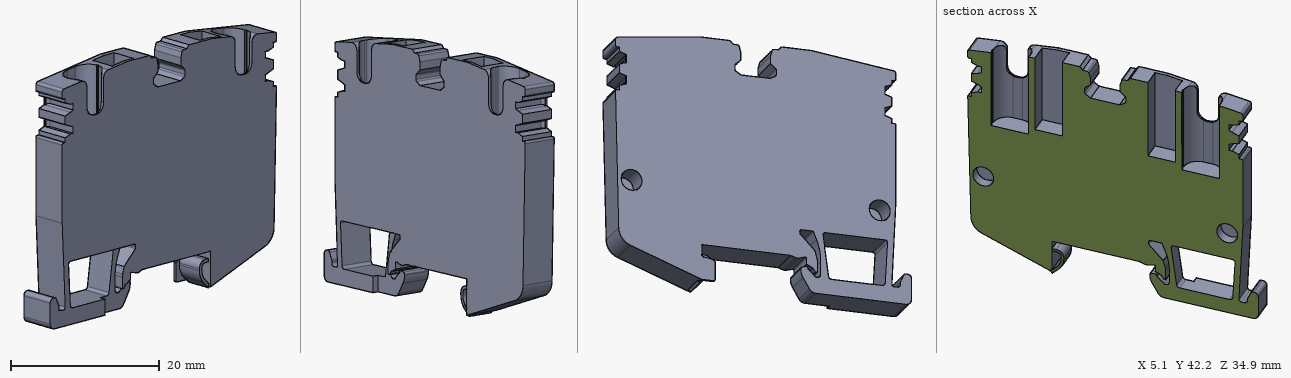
import cadquery as cq
import math

THICKNESS = 5.1
HALF_LENGTH = 20.0
TOP_Z = 34.7
RAIL_SEAT_Z = 4.98

SHOULDER_Y = 7.95
SHOULDER_DROP_PER_MM = 1 / 8

GRIP_STEP_Y = 19.43
GRIP_FLOOR_Y = 18.46
GRIP_TOP_Z = 31.82
GRIP_BOTTOM_Z = 25.7
GROOVE_FLOOR_HEIGHT = 1.11
GROOVE_SLOPE_HEIGHT = 0.35
GROOVE_CENTRES_Z = (30.295, 27.25)

RECESS_DEPTH = 0.5
RECESS_SLOPE_HEIGHT = 0.2
RECESS_START_X = 0.28
RECESS_CORNER_RADIUS = 0.32

ENTRY_INNER_Y = 11.1
ENTRY_LENGTH = 5.45
ENTRY_START_X = 0.42
ENTRY_WIDTH = 4.42
ENTRY_CORNER_RADIUS = 2.05
ENTRY_DEPTH = 13.0

ENTRY_GROOVE_WIDTH = 0.35
ENTRY_GROOVE_DEPTH = 0.12

NOTCH_WIDTH = 3.1
NOTCH_LIP_RADIUS = 1.0
NOTCH_DEPTH = 5.5

SQUARE_INNER_Y = 6.22
SQUARE_LENGTH = 3.95
SQUARE_START_X = 0.83
SQUARE_WIDTH = 3.73
SQUARE_DEPTH = 12.0

SOCKET_Y = 17.7
SOCKET_Z = 13.0
SOCKET_DIAMETER = 2.96
SOCKET_DEPTH = 3.5

WINDOW_TOP_Z = 8.85
WINDOW_BOTTOM_Z = 2.28

LATCH_WIDTH = 4.2
LATCH_STEP_Y = -12.0

FOOT_WALL_THICKNESS = 0.4
FOOT_TIP_Y = 5.74

STRIP_START_X = 0.83
STRIP_WIDTH = 3.87
STRIP_THICKNESS = 0.45
STRIP_TOP_Z = 3.87
STRIP_OUTER_Y = 5.98
STRIP_TIP_DROP = 0.24
STRIP_TOP_BEND_RADIUS = 1.1
STRIP_LOWER_BEND_RADIUS = 2.5
FOOT_WALL_Y = 7.68


def rounded_outline(plane, corners):
    """Closed wire through (u, v) or (u, v, radius) corners, rounded by tangent arcs."""
    starts, middles, ends = [], [], []
    for i, corner in enumerate(corners):
        here = cq.Vector(*corner[:2])
        if len(corner) == 2:
            starts.append(here)
            middles.append(None)
            ends.append(here)
            continue
        radius = corner[2]
        back = (cq.Vector(*corners[i - 1][:2]) - here).normalized()
        ahead = (cq.Vector(*corners[(i + 1) % len(corners)][:2]) - here).normalized()
        half_angle = back.getAngle(ahead) / 2
        setback = radius / math.tan(half_angle)
        to_arc = radius / math.sin(half_angle) - radius
        starts.append(here + back * setback)
        middles.append(here + (back + ahead).normalized() * to_arc)
        ends.append(here + ahead * setback)

    path = cq.Workplane(plane).moveTo(ends[0].x, ends[0].y)
    for start, middle, end in zip(starts[1:] + starts[:1], middles[1:] + middles[:1], ends[1:] + ends[:1]):
        path = path.lineTo(start.x, start.y)
        if middle is not None:
            path = path.threePointArc((middle.x, middle.y), (end.x, end.y))
    return path.close()


def mirrored(corners):
    """The same corners on the -Y side, in reverse order."""
    return [(-corner[0],) + tuple(corner[1:]) for corner in reversed(corners)]


def shoulder_z(distance):
    """Height of the top face at a distance from the block's mid-plane."""
    return TOP_Z - SHOULDER_DROP_PER_MM * max(0.0, distance - SHOULDER_Y)


def upper_half_outline():
    """Upper +Y half, from the floor of the middle notch out to the foot of the grip."""
    corners = [
        (2.1, 29.97),
        (2.95, 30.5, 0.3),
        (2.95, 31.35, 0.25),
        (2.12, 32.1),
        (2.12, 33.2),
        (2.4, 34.2, 0.3),
        (3.25, 34.25),
        (3.67, TOP_Z),
        (SHOULDER_Y, TOP_Z),
        (HALF_LENGTH, shoulder_z(HALF_LENGTH), 0.4),
        (HALF_LENGTH, GRIP_TOP_Z, 0.25),
        (GRIP_STEP_Y, GRIP_TOP_Z),
    ]
    half_floor = GROOVE_FLOOR_HEIGHT / 2
    half_mouth = half_floor + GROOVE_SLOPE_HEIGHT
    for centre in GROOVE_CENTRES_Z:
        corners += [
            (GRIP_STEP_Y, centre + half_mouth),
            (GRIP_FLOOR_Y, centre + half_floor),
            (GRIP_FLOOR_Y, centre - half_floor),
            (GRIP_STEP_Y, centre - half_mouth),
        ]
    corners += [
        (GRIP_STEP_Y, GRIP_BOTTOM_Z),
        (HALF_LENGTH, GRIP_BOTTOM_Z, 0.25),
    ]
    return corners


def fixed_foot_outline():
    """Tapered +Y end, its sloping underside and the fixed rail foot."""
    return [
        (19.5, 4.2, 2.5),
        (7.75, 0),
        (FOOT_TIP_Y, 0, 0.3),
        (FOOT_TIP_Y, 2.75),
        (6.2, 3.08),
        (7.4, 3.22),
        (FOOT_WALL_Y, 3.45),
        (FOOT_WALL_Y, RAIL_SEAT_Z),
    ]


def latch_outline():
    """Rail seat bead, spring gap, latch hook and finger hook at the -Y end."""
    return [
        (-5.0, RAIL_SEAT_Z),
        (-5.9, 4.68, 0.8),
        (-7.0, RAIL_SEAT_Z),
        (-7.25, RAIL_SEAT_Z, 0.1),
        (-7.25, 4.0),
        (-8.15, 3.53),
        (-8.5, 3.05),
        (-8.78, 3.05),
        (-8.78, 4.9, 1.5),
        (-8.44, 6.1),
        (-6.3, 8.25, 0.2),
        (-6.3, 8.85, 0.25),
        (-8.2, 8.85, 0.2),
        (-9.27, 6.25, 8.0),
        (-9.27, 2.3, 0.5),
        (-8.6, 2.3, 0.3),
        (-7.52, 3.3),
        (-7.4, 3.68, 0.15),
        (-6.43, 3.5, 0.3),
        (-6.43, 2.55, 2.2),
        (-7.95, 0, 1.0),
        (-22.24, 0, 0.8),
        (-22.24, 4.36, 0.6),
        (-21.2, 4.36, 0.35),
        (-20.62, 3.1, 0.5),
        (-20.62, 2.3, 0.45),
        (-19.42, 2.3, 0.35),
        (-HALF_LENGTH, 14.5),
    ]


def plate():
    upper = upper_half_outline()
    outline = upper + fixed_foot_outline() + latch_outline() + mirrored(upper)
    return rounded_outline("YZ", outline).extrude(THICKNESS)


def window():
    corners = [
        (-9.55, WINDOW_TOP_Z, 0.35),
        (-18.82, WINDOW_TOP_Z, 0.35),
        (-18.45, WINDOW_BOTTOM_Z, 0.45),
        (-10.45, WINDOW_BOTTOM_Z, 0.45),
    ]
    return rounded_outline("YZ", corners).extrude(THICKNESS)


def latch_relief():
    """Cut that narrows the latch; its edge runs through the spring gap, clear of the nose."""
    corners = [
        (LATCH_STEP_Y, 0),
        (LATCH_STEP_Y, WINDOW_TOP_Z),
        (-8.2, WINDOW_TOP_Z),
        (-8.9, 6.5),
        (-9.0, 2.7),
        (-8.6, 2.7),
        (-7.3, 3.9),
        (-6.0, 3.9),
        (-6.0, 0),
    ]
    relief = cq.Workplane("YZ").polyline(corners).close().extrude(THICKNESS - LATCH_WIDTH)
    return relief.translate((LATCH_WIDTH, 0, 0))


def foot_relief():
    """Space beside the thin foot wall, open to the rail and to the +X face."""
    return cq.Workplane("XY").box(
        THICKNESS - FOOT_WALL_THICKNESS, FOOT_WALL_Y - FOOT_TIP_Y, RAIL_SEAT_Z, centered=False
    ).translate((FOOT_WALL_THICKNESS, FOOT_TIP_Y, 0))


def grip_recess(side, centre, slope_direction):
    """Recess behind a groove, round in its -X corner; its slope_direction side narrows with depth."""
    flat_z = centre - slope_direction * GROOVE_FLOOR_HEIGHT / 2
    mouth_z = centre + slope_direction * GROOVE_FLOOR_HEIGHT / 2
    mouth_y = side * GRIP_FLOOR_Y
    deep_y = side * (GRIP_FLOOR_Y - RECESS_DEPTH)
    section = [
        (mouth_y, flat_z),
        (mouth_y, mouth_z),
        (deep_y, mouth_z - slope_direction * RECESS_SLOPE_HEIGHT),
        (deep_y, flat_z),
    ]
    plan = [
        (RECESS_START_X, mouth_y),
        (RECESS_START_X, deep_y, RECESS_CORNER_RADIUS),
        (THICKNESS, deep_y),
        (THICKNESS, mouth_y),
    ]
    through = cq.Workplane("YZ").polyline(section).close().extrude(THICKNESS)
    upright = rounded_outline("XY", plan).extrude(TOP_Z)
    return through.intersect(upright)


def top_opening(side, inner_y, length, start_x, width, depth):
    """Straight-sided block sunk from the top face, measured outward from the mid-plane."""
    return (
        cq.Workplane("XY", origin=(start_x + width / 2, side * (inner_y + length / 2), TOP_Z - depth))
        .rect(width, length)
        .extrude(depth)
    )


def wire_entry(side):
    """Rounded entry with a shallow groove down the middle of its +Y end."""
    opening = top_opening(side, ENTRY_INNER_Y, ENTRY_LENGTH, ENTRY_START_X, ENTRY_WIDTH, ENTRY_DEPTH)
    opening = opening.edges("|Z").fillet(ENTRY_CORNER_RADIUS)
    groove_reach = ENTRY_LENGTH / 2 + ENTRY_GROOVE_DEPTH
    entry_middle_x = ENTRY_START_X + ENTRY_WIDTH / 2
    entry_middle_y = side * (ENTRY_INNER_Y + ENTRY_LENGTH / 2)
    groove = (
        cq.Workplane("XY", origin=(entry_middle_x, entry_middle_y + groove_reach / 2, TOP_Z - ENTRY_DEPTH))
        .rect(ENTRY_GROOVE_WIDTH, groove_reach)
        .extrude(ENTRY_DEPTH)
    )
    return opening.union(groove)


def entry_notch(side):
    """U-shaped notch with rounded lips, from the middle of a wire entry out to the +X face."""
    middle = ENTRY_INNER_Y + ENTRY_LENGTH / 2
    inner = middle - NOTCH_WIDTH / 2
    outer = middle + NOTCH_WIDTH / 2
    lip_inner = inner - NOTCH_LIP_RADIUS
    lip_outer = outer + NOTCH_LIP_RADIUS
    floor_z = shoulder_z(middle) - NOTCH_DEPTH
    bottom_radius = 0.45 * NOTCH_WIDTH
    spare = 0.2
    corners = [
        (side * inner, floor_z, bottom_radius),
        (side * outer, floor_z, bottom_radius),
        (side * outer, shoulder_z(outer), NOTCH_LIP_RADIUS),
        (side * (lip_outer + spare), shoulder_z(lip_outer + spare)),
        (side * (lip_outer + spare), TOP_Z),
        (side * (lip_inner - spare), TOP_Z),
        (side * (lip_inner - spare), shoulder_z(lip_inner - spare)),
        (side * inner, shoulder_z(inner), NOTCH_LIP_RADIUS),
    ]
    entry_middle_x = ENTRY_START_X + ENTRY_WIDTH / 2
    notch = rounded_outline("YZ", corners).extrude(THICKNESS - entry_middle_x)
    return notch.translate((entry_middle_x, 0, 0))


def socket(side):
    return (
        cq.Workplane("YZ")
        .center(side * SOCKET_Y, SOCKET_Z)
        .circle(SOCKET_DIAMETER / 2)
        .extrude(SOCKET_DEPTH)
    )


def make_contact_strip():
    """Strip that hooks over the rail foot, runs down inside it and ends in a 45 degree leg."""
    inner_y = STRIP_OUTER_Y + STRIP_THICKNESS
    leg_end = STRIP_THICKNESS * math.sqrt(0.5)
    tip = (FOOT_WALL_Y, -STRIP_TIP_DROP)
    tip_back = (tip[0] + leg_end, tip[1] + leg_end)
    corners = [
        (FOOT_WALL_Y, STRIP_TOP_Z),
        (STRIP_OUTER_Y, STRIP_TOP_Z, STRIP_TOP_BEND_RADIUS),
        (STRIP_OUTER_Y, tip[1] + tip[0] - STRIP_OUTER_Y, STRIP_LOWER_BEND_RADIUS),
        tip,
        tip_back,
        (inner_y, tip_back[1] + tip_back[0] - inner_y, STRIP_LOWER_BEND_RADIUS - STRIP_THICKNESS),
        (inner_y, STRIP_TOP_Z - STRIP_THICKNESS, STRIP_TOP_BEND_RADIUS - STRIP_THICKNESS),
        (FOOT_WALL_Y, STRIP_TOP_Z - STRIP_THICKNESS),
    ]
    return rounded_outline("YZ", corners).extrude(STRIP_WIDTH).translate((STRIP_START_X, 0, 0))


def make_housing(contact_strip):
    body = plate().cut(window()).cut(latch_relief()).cut(foot_relief())
    for side in (1, -1):
        body = body.cut(wire_entry(side)).cut(entry_notch(side)).cut(socket(side))
        body = body.cut(
            top_opening(side, SQUARE_INNER_Y, SQUARE_LENGTH, SQUARE_START_X, SQUARE_WIDTH, SQUARE_DEPTH)
        )
        for centre, slope_direction in zip(GROOVE_CENTRES_Z, (-1, 1)):
            body = body.cut(grip_recess(side, centre, slope_direction))
    return body.cut(contact_strip)


contact_strip = make_contact_strip()
housing = make_housing(contact_strip)

result = cq.Compound.makeCompound([*housing.vals(), *contact_strip.vals()])